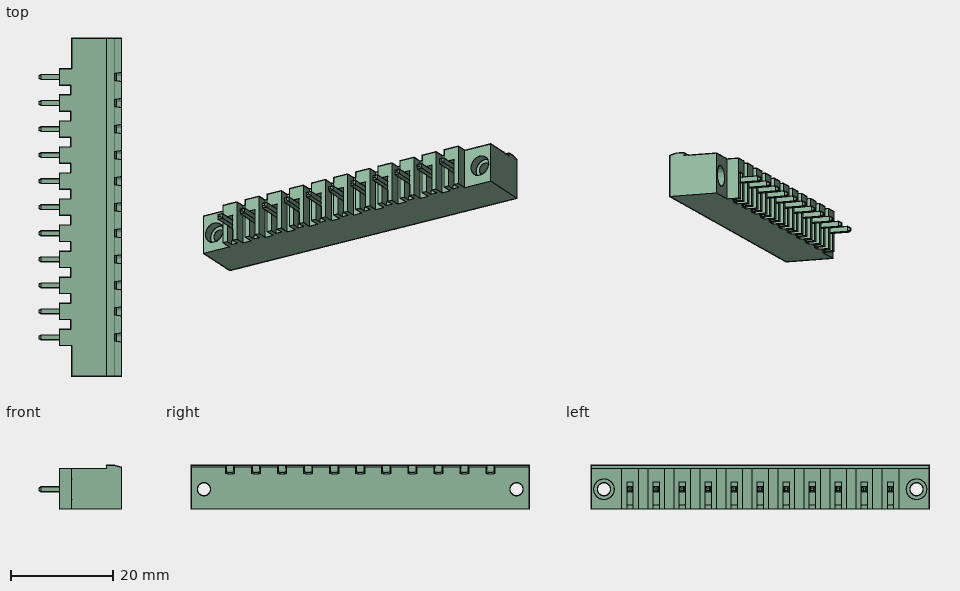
import cadquery as cq

total_length = 16.2
total_width = 66.05
total_height = 8.6

pin_count = 11
pin_pitch = 5.1
pin_size = 1.0
pin_projection = 4.0
pin_tip_length = 0.45
pin_tip_size = 0.45
pin_root_length = 1.0
axis_height = 3.9

shelf_height = 8.0
lip_start = 13.2
lip_chamfer_length = 1.4
lip_chamfer_drop = 0.4

block_width = 3.25
end_recess = 2.4
gap_depth = 2.2

slot_width = 1.25
slot_height = 5.35
slot_depth = 2.2
foot_height = 0.8
foot_setback = 1.65

mount_hole_diameter = 2.5
counterbore_diameter = 4.0
counterbore_depth = 1.9
mount_hole_offset = 30.5

notch_inner_width = 1.4
notch_outer_width = 1.8
notch_depth = 1.3
notch_end_wall_run = 0.3
notch_floor_radius = 2.65

comb_face = pin_projection
chamfer_start = total_length - lip_chamfer_length
pin_positions = [(i - (pin_count - 1) / 2) * pin_pitch for i in range(pin_count)]


def box(x_start, x_end, y_center, width, z_start, z_end):
    """Box between two X and two Z values, centred on y_center."""
    return (
        cq.Workplane("XY")
        .box(x_end - x_start, width, z_end - z_start, centered=(False, True, False))
        .translate((x_start, y_center, z_start))
    )


def housing():
    """Constant section along Y: flat shelf and a raised, chamfered lip."""
    return (
        cq.Workplane("XZ")
        .moveTo(comb_face, 0)
        .lineTo(total_length, 0)
        .lineTo(total_length, total_height - lip_chamfer_drop)
        .lineTo(chamfer_start, total_height)
        .lineTo(lip_start, total_height)
        .lineTo(lip_start, shelf_height)
        .lineTo(comb_face, shelf_height)
        .close()
        .extrude(total_width / 2, both=True)
    )


def end_recess_cut(side):
    """Material removed outside the last block so that the end flange sits back."""
    inner_edge = pin_positions[-1] + block_width / 2
    width = total_width / 2 - inner_edge
    y_center = side * (inner_edge + width / 2)
    return box(comb_face, comb_face + end_recess, y_center, width, 0, total_height)


def gap_cut(y_center):
    """Full-height gap between two neighbouring blocks."""
    gap_width = pin_pitch - block_width
    return box(comb_face, comb_face + gap_depth, y_center, gap_width, 0, total_height)


def slot_cut(y_center):
    """Slot around a pin, open at the bottom, with a shallower stretch at its foot."""
    foot = box(comb_face, comb_face + foot_setback, y_center, slot_width, 0, foot_height)
    main = box(comb_face, comb_face + slot_depth, y_center, slot_width, foot_height, slot_height)
    return main.union(foot)


def mount_hole_cut(side):
    """Through hole with a counterbore on the solder side."""
    face = (
        cq.Workplane("YZ")
        .workplane(offset=comb_face + end_recess)
        .center(side * mount_hole_offset, axis_height)
    )
    hole = face.circle(mount_hole_diameter / 2).extrude(total_length)
    return hole.union(face.circle(counterbore_diameter / 2).extrude(counterbore_depth))


def notch_cut(y_center):
    """Notch with flared sides, a leaning end wall and a hollow floor that falls with the chamfer."""
    floor_height = total_height - notch_depth
    flared_plan = (
        cq.Workplane("XY")
        .moveTo(chamfer_start, y_center - notch_inner_width / 2)
        .lineTo(total_length, y_center - notch_outer_width / 2)
        .lineTo(total_length, y_center + notch_outer_width / 2)
        .lineTo(chamfer_start, y_center + notch_inner_width / 2)
        .close()
        .extrude(total_height)
    )
    end_wall_wedge = (
        cq.Workplane("XZ", origin=(0, y_center, 0))
        .moveTo(chamfer_start, total_height)
        .lineTo(chamfer_start + notch_end_wall_run, floor_height)
        .lineTo(chamfer_start + notch_end_wall_run, 0)
        .lineTo(chamfer_start, 0)
        .close()
        .extrude(notch_outer_width, both=True)
    )
    hollow_floor = cq.Solid.makeCone(
        notch_floor_radius,
        notch_floor_radius + lip_chamfer_drop,
        lip_chamfer_length,
        pnt=cq.Vector(chamfer_start, y_center, floor_height + notch_floor_radius),
        dir=cq.Vector(1, 0, 0),
    )
    return flared_plan.cut(end_wall_wedge).intersect(cq.Workplane(hollow_floor))


def pin(y_center):
    """Square pin with a tapered tip, rooted in the housing behind the slot."""
    root = comb_face + slot_depth + pin_root_length
    pin_bottom = axis_height - pin_size / 2
    shaft = box(pin_tip_length, root, y_center, pin_size, pin_bottom, pin_bottom + pin_size)
    tip = (
        cq.Workplane("YZ")
        .center(y_center, axis_height)
        .rect(pin_tip_size, pin_tip_size)
        .workplane(offset=pin_tip_length)
        .rect(pin_size, pin_size)
        .loft(ruled=True)
    )
    return shaft.union(tip)


result = housing()
for side in (-1, 1):
    result = result.cut(end_recess_cut(side)).cut(mount_hole_cut(side))
for y in pin_positions[:-1]:
    result = result.cut(gap_cut(y + pin_pitch / 2))
for y in pin_positions:
    result = result.cut(slot_cut(y)).cut(notch_cut(y)).union(pin(y))